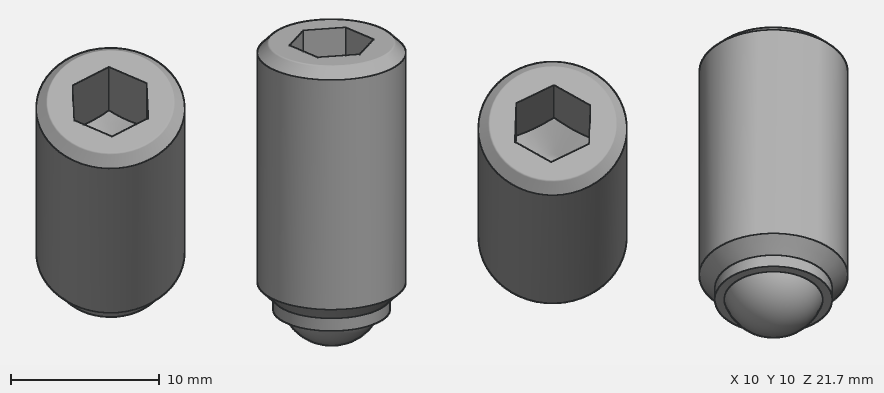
import cadquery as cq
import math

total_height = 21.7
screw_diameter = 10.0
top_chamfer = 0.74
top_edge_radius = 0.2

collar_diameter = 7.9
collar_height = 0.91

ball_radius = 3.5
ball_protrusion = 2.39

hex_across_flats = 5.0
hex_depth = 5.0
drill_point_angle = 120.0

screw_radius = screw_diameter / 2
collar_radius = collar_diameter / 2
collar_top = ball_protrusion + collar_height
nose_cone_height = screw_radius - collar_radius
nose_cone_top = collar_top + nose_cone_height
hex_across_corners = hex_across_flats / math.cos(math.radians(30))
hex_corner_radius = hex_across_corners / 2
drill_point_height = hex_corner_radius / math.tan(math.radians(drill_point_angle / 2))
hex_floor = total_height - hex_depth


def make_ball():
    """Full sphere whose lowest point touches Z = 0."""
    return cq.Workplane("XY").sphere(ball_radius).translate((0, 0, ball_radius))


def make_screw_blank():
    """Turned outside shape: collar, nose cone, cylinder and rounded top chamfer."""
    profile = (
        cq.Workplane("XZ")
        .moveTo(0, ball_protrusion)
        .lineTo(collar_radius, ball_protrusion)
        .lineTo(collar_radius, collar_top)
        .lineTo(screw_radius, nose_cone_top)
        .lineTo(screw_radius, total_height - top_chamfer)
        .lineTo(screw_radius - top_chamfer, total_height)
        .lineTo(0, total_height)
        .close()
    )
    blank = profile.revolve(360, (0, 0), (0, 1))
    return blank.faces(">Z").edges().fillet(top_edge_radius)


def make_hex_socket():
    """Hexagonal prism whose bottom narrows to a point along a drill cone."""
    prism = (
        cq.Workplane("XY", origin=(0, 0, hex_floor - drill_point_height))
        .polygon(6, hex_across_corners)
        .extrude(hex_depth + drill_point_height)
    )
    drill_envelope = (
        cq.Workplane("XZ")
        .moveTo(0, hex_floor - drill_point_height)
        .lineTo(hex_corner_radius, hex_floor)
        .lineTo(hex_corner_radius, total_height)
        .lineTo(0, total_height)
        .close()
        .revolve(360, (0, 0), (0, 1))
    )
    return prism.intersect(drill_envelope)


ball = make_ball()
screw = make_screw_blank().cut(make_hex_socket()).cut(ball)

result = cq.Compound.makeCompound([screw.solids().val(), ball.val()])